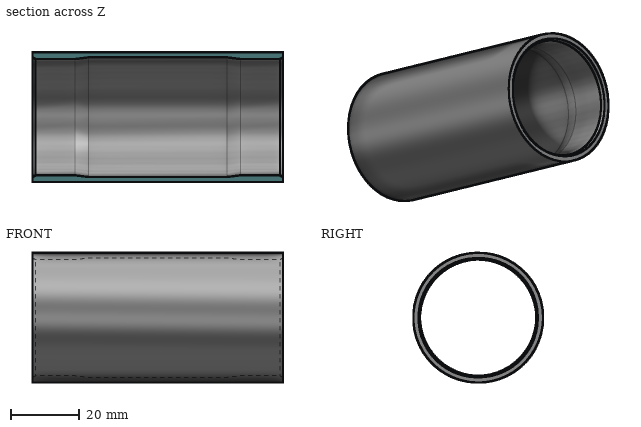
import cadquery as cq

length = 73.5
outer_radius = 38.1 / 2
land_radius = 17.0
mouth_chamfer_depth = 1.0
mouth_chamfer_rise = 0.5
land_length = 11.5
relief_taper_length = 4.0
relief_depth = 0.5

end_x = length / 2
land_start_x = end_x - mouth_chamfer_depth
land_end_x = land_start_x - land_length
relief_x = land_end_x - relief_taper_length

mouth_radius = land_radius + mouth_chamfer_rise
relief_radius = land_radius + relief_depth


def wall_section():
    """Half section of the sleeve wall in the XY plane, symmetric about X = 0."""
    bore_half = [
        (end_x, mouth_radius),
        (land_start_x, land_radius),
        (land_end_x, land_radius),
        (relief_x, relief_radius),
    ]
    bore_other_half = [(-x, radius) for x, radius in reversed(bore_half)]
    outside = [(-end_x, outer_radius), (end_x, outer_radius)]
    return cq.Workplane("XY").polyline(bore_half + bore_other_half + outside).close()


result = wall_section().revolve(360, (0, 0, 0), (1, 0, 0))